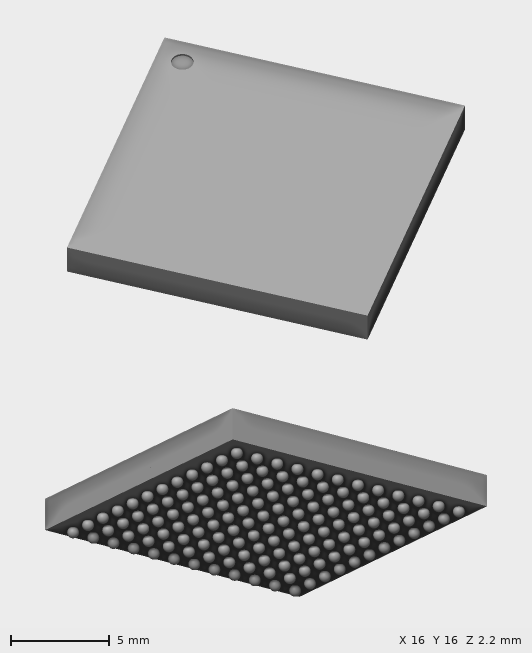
import cadquery as cq

package_side = 16.0
package_height = 2.2

balls_per_side = 12
grid_span = 13.97
ball_pitch = grid_span / (balls_per_side - 1)
ball_radius = 0.3
ball_shoulder_height = 0.2
ball_height = ball_shoulder_height + ball_radius

board_thickness = 0.6
board_bottom = ball_height
board_top = board_bottom + board_thickness
cap_thickness = package_height - board_top

marker_diameter = 1.14
marker_inset = 1.4
marker_depth = 0.11


def make_ball():
    """Full sphere with its lowest point at the origin; its crown sinks into the board."""
    return cq.Workplane("XY", origin=(0, 0, ball_radius)).sphere(ball_radius)


def make_board():
    """Square board with its grid of balls, as one solid."""
    board = (
        cq.Workplane("XY", origin=(0, 0, board_bottom))
        .rect(package_side, package_side)
        .extrude(board_thickness)
    )
    ball = make_ball().val()
    first_ball = -grid_span / 2
    balls = []
    for column in range(balls_per_side):
        for row in range(balls_per_side):
            x = first_ball + column * ball_pitch
            y = first_ball + row * ball_pitch
            balls.append(ball.translate(cq.Vector(x, y, 0)))
    return board.val().fuse(*balls).Solids()[0]


def make_cap():
    """Square cap on the board, with the marker recess in its top face."""
    cap = (
        cq.Workplane("XY", origin=(0, 0, board_top))
        .rect(package_side, package_side)
        .extrude(cap_thickness)
    )
    marker_offset = package_side / 2 - marker_inset
    marker = (
        cq.Workplane("XY", origin=(-marker_offset, marker_offset, package_height))
        .circle(marker_diameter / 2)
        .extrude(-marker_depth)
    )
    return cap.cut(marker).val().Solids()[0]


board = make_board()
cap = make_cap()

result = cq.Compound.makeCompound([board, cap])